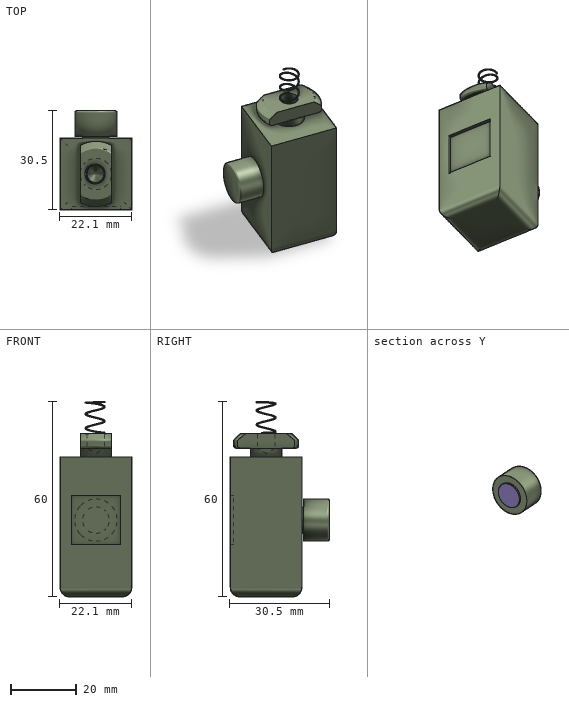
import cadquery as cq
import math

HOUSING_SIDE = 22.05
HOUSING_HEIGHT = 43.0
HOUSING_BOTTOM_FILLET = 3.0

CONTROL_HEIGHT = 23.6
WINDOW_SIDE = 15.0
WINDOW_DEPTH = 1.0

KNOB_DIAMETER = 12.95
KNOB_LENGTH = 8.0
KNOB_EDGE_FILLET = 0.7
COLLAR_DIAMETER = 8.15
COLLAR_LENGTH = 0.5

NUT_WIDTH = 9.6
STEM_DIAMETER = NUT_WIDTH
STEM_HEIGHT = 2.65

NUT_LENGTH = 20.0
NUT_HEIGHT = 4.55
NUT_TOP_CHAMFER = 2.1
NUT_CHAMFER_FILLET = 0.5
NUT_BOTTOM_FILLET = 0.9
NUT_BASE = HOUSING_HEIGHT + STEM_HEIGHT
NUT_TOP = NUT_BASE + NUT_HEIGHT

HOLE_DIAMETER = 5.4
HOLE_POINT_ANGLE = 118.0

SPRING_TOP = 60.0
SPRING_AXIS_X = -0.25
WIRE_DIAMETER = 0.35
COIL_DIAMETER = 5.75
END_PITCH = 0.35
BOTTOM_END_TURNS = 0.12
TOP_END_TURNS = 0.6
EASE_TURNS = 0.3
ACTIVE_TURNS = 1.79
TOP_END_ANGLE = 13.0
POINTS_PER_TURN = 24


def make_housing():
    block = cq.Workplane("XY").box(HOUSING_SIDE, HOUSING_SIDE, HOUSING_HEIGHT, centered=(True, True, False))
    block = block.faces("<Z").edges().fillet(HOUSING_BOTTOM_FILLET)
    window = cq.Workplane("XY").box(WINDOW_SIDE, 2 * WINDOW_DEPTH, WINDOW_SIDE)
    return block.cut(window.translate((0, -HOUSING_SIDE / 2, CONTROL_HEIGHT)))


def make_knob():
    face = cq.Workplane("XZ", origin=(0, HOUSING_SIDE / 2, CONTROL_HEIGHT))
    collar = face.circle(COLLAR_DIAMETER / 2).extrude(-COLLAR_LENGTH)
    grip = face.workplane(offset=-COLLAR_LENGTH).circle(KNOB_DIAMETER / 2).extrude(-KNOB_LENGTH)
    grip = grip.faces(">Y").edges().fillet(KNOB_EDGE_FILLET)
    return collar.union(grip)


def make_hole():
    """Tool for the drilled hole: straight through the nut, with its point below the nut's underside."""
    radius = HOLE_DIAMETER / 2
    point_depth = radius / math.tan(math.radians(HOLE_POINT_ANGLE / 2))
    outline = [(0, NUT_BASE - point_depth), (radius, NUT_BASE), (radius, NUT_TOP), (0, NUT_TOP)]
    return cq.Workplane("XZ").polyline(outline).close().revolve(360, (0, 0), (0, 1))


def make_stem():
    post = cq.Workplane("XY", origin=(0, 0, HOUSING_HEIGHT)).circle(STEM_DIAMETER / 2).extrude(STEM_HEIGHT)
    return post.cut(make_hole())


def make_nut():
    disc = cq.Workplane("XY", origin=(0, 0, NUT_BASE)).circle(NUT_LENGTH / 2).extrude(NUT_HEIGHT)
    disc = disc.faces(">Z").edges().chamfer(NUT_TOP_CHAMFER)
    disc = disc.edges("%CIRCLE and (not <Z)").fillet(NUT_CHAMFER_FILLET)
    disc = disc.faces("<Z").edges().fillet(NUT_BOTTOM_FILLET)
    flats = cq.Workplane("XY").box(NUT_WIDTH, 2 * NUT_LENGTH, NUT_HEIGHT, centered=(True, True, False))
    return disc.intersect(flats.translate((0, 0, NUT_BASE))).cut(make_hole())


def eased_turns(turns, start):
    """Turns of steep climb gained since start, building up gradually over the ease instead of kinking."""
    passed = max(turns - start, 0)
    if passed < EASE_TURNS:
        return passed ** 2 / (2 * EASE_TURNS)
    return passed - EASE_TURNS / 2


def make_spring():
    total_turns = BOTTOM_END_TURNS + ACTIVE_TURNS + 2 * EASE_TURNS + TOP_END_TURNS
    bottom_center = NUT_TOP + WIRE_DIAMETER / 2
    total_climb = SPRING_TOP - NUT_TOP - WIRE_DIAMETER
    extra_pitch = (total_climb - END_PITCH * total_turns) / (ACTIVE_TURNS + EASE_TURNS)
    ease_out = BOTTOM_END_TURNS + EASE_TURNS + ACTIVE_TURNS

    def center_point(turns):
        angle = math.radians(TOP_END_ANGLE) + 2 * math.pi * (turns - total_turns)
        steep_turns = eased_turns(turns, BOTTOM_END_TURNS) - eased_turns(turns, ease_out)
        return cq.Vector(
            SPRING_AXIS_X + COIL_DIAMETER / 2 * math.cos(angle),
            COIL_DIAMETER / 2 * math.sin(angle),
            bottom_center + END_PITCH * turns + extra_pitch * steep_turns,
        )

    steps = round(total_turns * POINTS_PER_TURN)
    coil = cq.Edge.makeSpline([center_point(total_turns * i / steps) for i in range(steps + 1)])
    wire_end = cq.Plane(origin=coil.startPoint(), xDir=(0, 0, 1), normal=coil.tangentAt(0))
    path = cq.Workplane(cq.Wire.assembleEdges([coil]))
    return cq.Workplane(wire_end).circle(WIRE_DIAMETER / 2).sweep(path, isFrenet=True)


housing = make_housing()
knob = make_knob()
stem = make_stem()
nut = make_nut()
spring = make_spring()

result = cq.Compound.makeCompound([housing.val(), knob.val(), stem.val(), nut.val(), spring.val()])